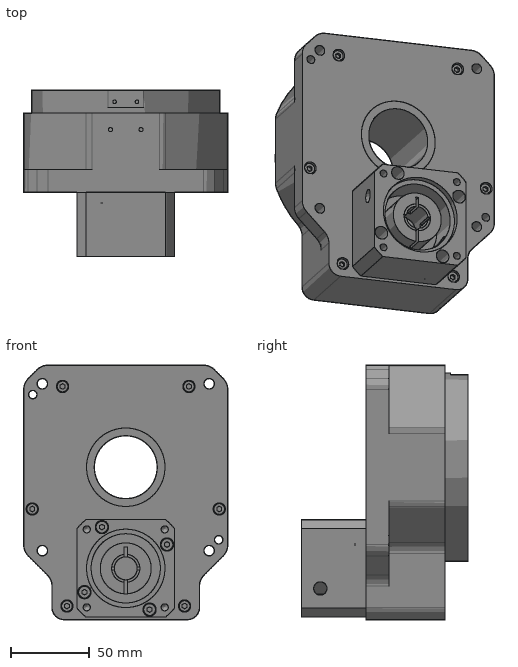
import cadquery as cq
import math


plate_thickness = 14.5
housing_depth = 35.8
cap_depth = 14.5
block_length = 41.0
housing_back = plate_thickness + housing_depth
cap_back = housing_back + cap_depth
block_front = -block_length

overall_height = 162.0
half_width = 65.0
bottom_z = half_width - overall_height
tail_half_width = 47.0
tail_corner_radius = 8.0
corner_cut = 11.5
blend_radius = 10.0
housing_radius = 69.0

cap_radius = 60.0
cap_flat_half_width = 11.2
cap_flat_length = 11.0

bore_radius = 20.0
shaft_end_radius = 25.0
shaft_end_recess = 0.2

mount_circle_radius = 75.0
mount_hole_radius = 3.2
dowel_hole_radius = 2.6
dowel_angle = 142.0

plate_screw_places = [(40.2, 51.4), (59.5, -26.5), (37.5, -88.3)]
plate_screw_well_radius = 3.9
plate_screw_depth = 1.5
head_gap = 0.5
head_height = 4.0
socket_width = 3.0
socket_depth = 2.0

block_z = -64.3
block_width = 62.0
block_corner_radius = 40.0
pilot_radius = 25.0
pilot_depth = 5.0
cavity_radius = 22.0
cavity_depth = 30.0
block_screw_circle_radius = 30.3
block_screw_first_angle = 30
block_screw_well_radius = 4.2
block_screw_depth = 30.0
tapped_hole_offset = 24.8
tapped_hole_radius = 2.3
tapped_hole_depth = 10.0
drill_point_angle = 118.0
access_hole_radius = 4.2
access_hole_offset = 12.8
access_hole_setback = 12.0

hub_radius = 16.2
hub_setback = 5.5
sleeve_radius = 8.9
sleeve_recess = 0.2
shaft_radius = 7.3
shaft_depth = 25.0
slit_width = 2.0
slit_depth = 15.0
short_slit_end = 13.5

cap_pin_spacing = 14.3
cap_pin_radius = 1.1
cap_pin_setback = 7.5
housing_pin_spacing = 19.5
housing_pin_radius = 1.3
housing_pin_setback = 10.5
pin_hole_depth = 4.9


def cylinder(radius, x, z, y_start, y_end):
    """Solid cylinder parallel to Y."""
    return cq.Workplane(cq.Solid.makeCylinder(
        radius, y_end - y_start, cq.Vector(x, y_start, z), cq.Vector(0, 1, 0)))


def box(x_start, x_end, y_start, y_end, z_start, z_end):
    """Solid box given by its limits."""
    return cq.Workplane().box(
        x_end - x_start, y_end - y_start, z_end - z_start, centered=False
    ).translate((x_start, y_start, z_start))


def polar(radius, degrees):
    """X and Z of a point on a circle about the origin."""
    angle = math.radians(degrees)
    return radius * math.cos(angle), radius * math.sin(angle)


def make_plate():
    cut_start = half_width - corner_cut
    neck_z = -(half_width + cut_start - tail_half_width)
    right_side = [
        (cut_start, half_width),
        (half_width, cut_start),
        (half_width, -cut_start),
        (tail_half_width, neck_z),
        (tail_half_width, bottom_z),
    ]
    left_side = [(-x, z) for x, z in reversed(right_side)]
    plate = cq.Workplane("XZ").polyline(right_side + left_side).close().extrude(-plate_thickness)
    plate = plate.edges("|Y and (not <Z)").fillet(blend_radius)
    return plate.edges("|Y and <Z").fillet(tail_corner_radius)


def make_housing():
    """Round body with four flats, blended into the tail below it."""
    body = box(-half_width, half_width, plate_thickness, housing_back, -half_width, half_width)
    body = body.intersect(cylinder(housing_radius, 0, 0, plate_thickness, housing_back))
    body = body.edges("|Y").fillet(blend_radius)
    tail = box(-tail_half_width, tail_half_width, plate_thickness, housing_back, bottom_z, 0)
    tail = tail.edges("|Y and <Z").fillet(tail_corner_radius)
    body = body.union(tail)
    joint_z = -math.sqrt(housing_radius**2 - tail_half_width**2)
    joint_y = (plate_thickness + housing_back) / 2
    for x in (-tail_half_width, tail_half_width):
        joint = cq.NearestToPointSelector((x, joint_y, joint_z))
        body = body.edges("|Y").edges(joint).fillet(blend_radius)
    return body


def make_cap():
    flat_z = math.sqrt(cap_radius**2 - cap_flat_half_width**2)
    cap = cylinder(cap_radius, 0, 0, housing_back, cap_back)
    flat_start = cap_back - cap_flat_length
    return cap.cut(box(-cap_radius, cap_radius, flat_start, cap_back, flat_z, cap_radius))


def make_block():
    """Square block whose corners are turned to a common circle."""
    half = block_width / 2
    block = box(-half, half, block_front, 0, block_z - half, block_z + half)
    return block.intersect(cylinder(block_corner_radius, 0, block_z, block_front, 0))


def make_hub():
    """Split clamping hub with a slotted sleeve around the motor shaft bore."""
    front = block_front + hub_setback
    slit_end = front + slit_depth
    half_slit = slit_width / 2
    hub = cylinder(hub_radius, 0, block_z, front, block_front + cavity_depth)
    hub = hub.cut(cylinder(shaft_radius, 0, block_z, front, front + shaft_depth))
    hub = hub.cut(cylinder(sleeve_radius, 0, block_z, front, front + sleeve_recess))
    clamp_bottom = block_z - hub_radius
    clamp_top = block_z + short_slit_end
    clamp_slit = box(-half_slit, half_slit, front, slit_end, clamp_bottom, clamp_top)
    side_bottom = block_z - half_slit
    side_top = block_z + half_slit
    side_slits = box(-sleeve_radius, sleeve_radius, front, slit_end, side_bottom, side_top)
    return hub.cut(clamp_slit).cut(side_slits)


def screw_recess(x, z, face_y, well_radius, depth):
    """Space around a sunk socket-head screw: well, gap beside the head and hex socket."""
    head_y = face_y + depth
    recess = cylinder(well_radius, x, z, face_y, head_y + head_height)
    head = cylinder(well_radius - head_gap, x, z, head_y, head_y + head_height)
    socket_corners = socket_width / math.cos(math.pi / 6)
    socket = (
        cq.Workplane("XZ", origin=(x, head_y, z))
        .transformed(rotate=(0, 0, 90))
        .polygon(6, socket_corners)
        .extrude(-socket_depth)
    )
    return recess.cut(head).union(socket)


def drilled_hole(x, z, face_y, radius, depth):
    """Blind hole along +Y with a conical drill point."""
    point = radius / math.tan(math.radians(drill_point_angle / 2))
    profile = [(0, 0), (radius, 0), (radius, depth), (0, depth + point)]
    hole = cq.Workplane("XY").polyline(profile).close().revolve(360, (0, 0), (0, 1))
    return hole.translate((x, face_y, z))


def cut_block_holes(part):
    part = part.cut(cylinder(pilot_radius, 0, block_z, block_front, block_front + pilot_depth))
    part = part.cut(cylinder(cavity_radius, 0, block_z, block_front, block_front + cavity_depth))
    for side in (-1, 1):
        start = cq.Vector(0, block_front + access_hole_setback, block_z - side * access_hole_offset)
        access = cq.Solid.makeCylinder(access_hole_radius, block_width, start, cq.Vector(side, 0, 0))
        part = part.cut(cq.Workplane(access))
    for turn in range(4):
        x, z = polar(block_screw_circle_radius, block_screw_first_angle + 90 * turn)
        part = part.cut(
            screw_recess(x, block_z + z, block_front, block_screw_well_radius, block_screw_depth))
    for x in (-tapped_hole_offset, tapped_hole_offset):
        for z in (-tapped_hole_offset, tapped_hole_offset):
            part = part.cut(
                drilled_hole(x, block_z + z, block_front, tapped_hole_radius, tapped_hole_depth))
    return part


def cut_plate_holes(part):
    for turn in range(4):
        x, z = polar(mount_circle_radius, 45 + 90 * turn)
        part = part.cut(cylinder(mount_hole_radius, x, z, 0, plate_thickness))
    for angle in (dowel_angle, dowel_angle + 180):
        x, z = polar(mount_circle_radius, angle)
        part = part.cut(cylinder(dowel_hole_radius, x, z, 0, plate_thickness))
    for x, z in plate_screw_places:
        for side in (-1, 1):
            part = part.cut(screw_recess(side * x, z, 0, plate_screw_well_radius, plate_screw_depth))
    return part


def cut_main_bore(part):
    part = part.cut(cylinder(bore_radius, 0, 0, 0, cap_back))
    return part.cut(cylinder(shaft_end_radius, 0, 0, 0, shaft_end_recess))


def cut_top_pin_holes(part, y, spacing, radius, face_z):
    for x in (-spacing / 2, spacing / 2):
        start = cq.Vector(x, y, face_z - pin_hole_depth)
        hole = cq.Solid.makeCylinder(radius, pin_hole_depth, start, cq.Vector(0, 0, 1))
        part = part.cut(cq.Workplane(hole))
    return part


result = make_plate().union(make_housing()).union(make_cap()).union(make_block())
result = cut_block_holes(result).union(make_hub())
result = cut_plate_holes(result)
result = cut_main_bore(result)
result = cut_top_pin_holes(
    result, cap_back - cap_pin_setback, cap_pin_spacing, cap_pin_radius, cap_radius)
result = cut_top_pin_holes(
    result, housing_back - housing_pin_setback, housing_pin_spacing, housing_pin_radius, half_width)